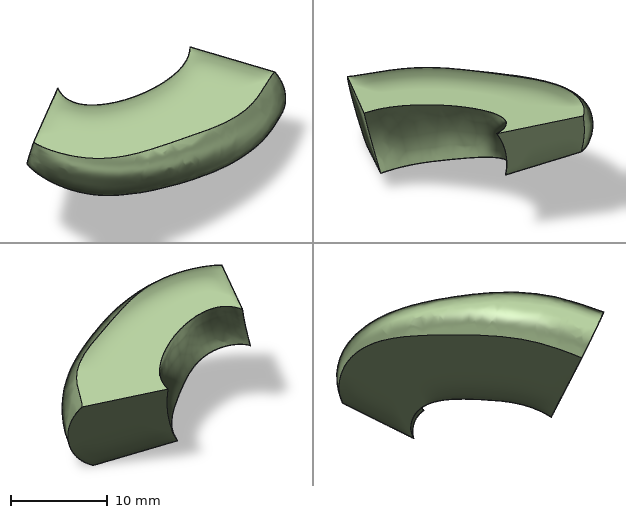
import cadquery as cq
import math

BASE_TILT = 17.6
TOP_TILT = 9.5
AXIS_HEIGHT = 5.85
HOLLOW_DEPTH = 0.5
RING_CENTRE = (-7.65, 13.4, 4.28)

SECTIONS = [
    (-45, 11.6, 11.9, 19.8, 20.65, 21.0),
    (-30, 13.03, 13.57, 22.02, 22.85, 21.78),
    (-15, 12.58, 12.88, 21.42, 22.67, 20.82),
    (0, 11.65, 12.15, 20.08, 22.0, 19.8),
    (15, 11.25, 11.65, 19.64, 21.85, 19.9),
    (30, 11.2, 11.35, 19.8, 22.02, 19.95),
    (45, 10.95, 10.83, 20.05, 22.1, 19.95),
]

TOP_SLOPE = math.tan(math.radians(BASE_TILT - TOP_TILT))


def wall_point(angle, radius, share):
    """Point on a section: share 0 lies on the base, share 1 on the top."""
    x = radius * math.cos(math.radians(angle))
    y = radius * math.sin(math.radians(angle))
    height = AXIS_HEIGHT + TOP_SLOPE * y
    return cq.Vector(x, y, share * height)


def section_wire(angle, inner_base, inner_top, outer_base, outer_middle, outer_top):
    """Closed outline: straight base and top, arcs for the two walls."""
    inner_middle = (inner_base + inner_top) / 2 + HOLLOW_DEPTH
    inner_low = wall_point(angle, inner_base, 0)
    inner_mid = wall_point(angle, inner_middle, 0.5)
    inner_high = wall_point(angle, inner_top, 1)
    outer_low = wall_point(angle, outer_base, 0)
    outer_mid = wall_point(angle, outer_middle, 0.5)
    outer_high = wall_point(angle, outer_top, 1)
    return cq.Wire.assembleEdges([
        cq.Edge.makeLine(inner_low, outer_low),
        cq.Edge.makeThreePointArc(outer_low, outer_mid, outer_high),
        cq.Edge.makeLine(outer_high, inner_high),
        cq.Edge.makeThreePointArc(inner_high, inner_mid, inner_low),
    ])


ring_segment = cq.Solid.makeLoft([section_wire(*section) for section in SECTIONS])

result = (
    cq.Workplane(obj=ring_segment)
    .rotate((0, 0, 0), (1, 0, 0), -BASE_TILT)
    .translate(RING_CENTRE)
)